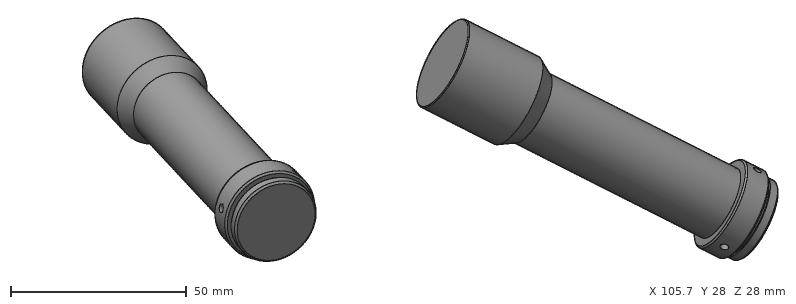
import cadquery as cq
import math

total_length = 105.7
body_diameter = 28.0
head_length = 25.0
cone_length = 5.0
tube_diameter = 22.2
head_chamfer = 0.3

spigot_length = 4.0
spigot_diameter = 25.4
spigot_chamfer = 0.6
relief_width = 1.0
relief_diameter = 24.0
collar_length = 8.0
collar_front_chamfer = 0.5
collar_rear_chamfer = 0.6

screw_count = 3
screw_diameter = 2.5
screw_depth = 3.0
screw_tip_angle = 118.0
first_screw_angle = 45.7

x_left = -total_length / 2
x_right = x_left + total_length
x_collar_end = x_right - spigot_length
x_collar_start = x_collar_end - collar_length
x_screws = (x_collar_start + x_collar_end) / 2
body_radius = body_diameter / 2
tube_radius = tube_diameter / 2
spigot_radius = spigot_diameter / 2
relief_radius = relief_diameter / 2


def make_barrel():
    """Revolve the stepped half-outline about the X axis."""
    outline = (
        cq.Workplane("XY")
        .moveTo(x_left, 0)
        .lineTo(x_left, body_radius - head_chamfer)
        .lineTo(x_left + head_chamfer, body_radius)
        .lineTo(x_left + head_length, body_radius)
        .lineTo(x_left + head_length + cone_length, tube_radius)
        .lineTo(x_collar_start, tube_radius)
        .lineTo(x_collar_start, body_radius - collar_front_chamfer)
        .lineTo(x_collar_start + collar_front_chamfer, body_radius)
        .lineTo(x_collar_end - collar_rear_chamfer, body_radius)
        .lineTo(x_collar_end, body_radius - collar_rear_chamfer)
        .lineTo(x_collar_end, relief_radius)
        .lineTo(x_collar_end + relief_width, relief_radius)
        .lineTo(x_collar_end + relief_width, spigot_radius)
        .lineTo(x_right - spigot_chamfer, spigot_radius)
        .lineTo(x_right, spigot_radius - spigot_chamfer)
        .lineTo(x_right, 0)
        .close()
    )
    return outline.revolve(360, (0, 0, 0), (1, 0, 0))


def make_screw_hole(angle):
    """Drill with a conical tip, entering the collar radially at the given angle."""
    radius = screw_diameter / 2
    tip_length = radius / math.tan(math.radians(screw_tip_angle / 2))
    floor = body_radius - screw_depth
    drill = (
        cq.Workplane("XY")
        .moveTo(0, floor - tip_length)
        .lineTo(radius, floor)
        .lineTo(radius, body_radius)
        .lineTo(0, body_radius)
        .close()
        .revolve(360, (0, 0, 0), (0, 1, 0))
    )
    return drill.translate((x_screws, 0, 0)).rotate((0, 0, 0), (1, 0, 0), angle)


result = make_barrel()
for index in range(screw_count):
    result = result.cut(make_screw_hole(first_screw_angle + index * 360 / screw_count))